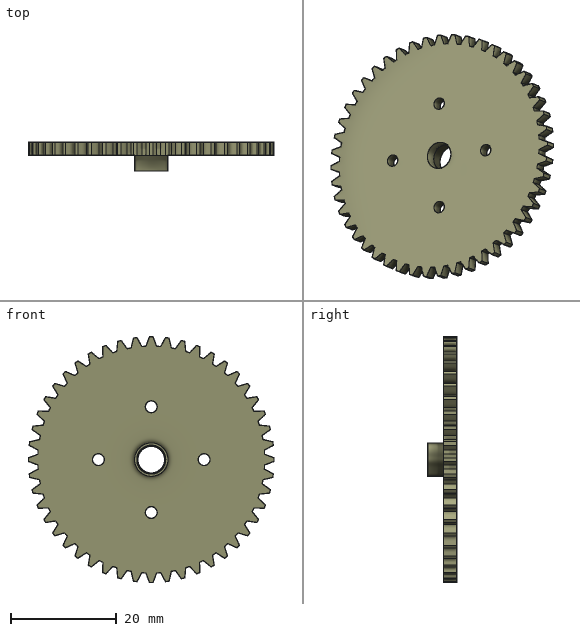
import cadquery as cq
import math

tooth_count = 48
tip_radius = 23.25
root_radius = 21.5
tooth_tip_width = 0.7
tooth_root_width = 2.05

disc_thickness = 2.5
hub_length = 2.98
hub_diameter = 6.32

bore_diameter = 5.0
counterbore_diameter = 5.5

small_hole_count = 4
small_hole_diameter = 2.2
small_hole_circle_radius = 10.0


def polar_point(radius, angle):
    return (radius * math.cos(angle), radius * math.sin(angle))


def half_angle(width, radius):
    """Half the angle that a chord of the given width spans at the given radius."""
    return math.asin(width / (2 * radius))


def gear_outline():
    """Closed gear outline in the XZ plane, with one tooth centred on +X."""
    tooth_pitch = 2 * math.pi / tooth_count
    tip_half = half_angle(tooth_tip_width, tip_radius)
    root_half = half_angle(tooth_root_width, root_radius)

    outline = cq.Workplane("XZ").moveTo(*polar_point(root_radius, -root_half))
    for tooth in range(tooth_count):
        tooth_centre = tooth * tooth_pitch
        gap_centre = tooth_centre + tooth_pitch / 2
        tip_middle = polar_point(tip_radius, tooth_centre)
        tip_end = polar_point(tip_radius, tooth_centre + tip_half)
        root_middle = polar_point(root_radius, gap_centre)
        root_end = polar_point(root_radius, tooth_centre + tooth_pitch - root_half)
        outline = (
            outline
            .lineTo(*polar_point(tip_radius, tooth_centre - tip_half))
            .threePointArc(tip_middle, tip_end)
            .lineTo(*polar_point(root_radius, tooth_centre + root_half))
            .threePointArc(root_middle, root_end)
        )
    return outline.close()


def cylinder_along_y(diameter, start, end):
    """Cylinder on the Y axis between two Y positions."""
    return cq.Workplane("XZ", origin=(0, start, 0)).circle(diameter / 2).extrude(start - end)


gear_disc = gear_outline().extrude(-disc_thickness)
hub = cylinder_along_y(hub_diameter, -hub_length, 0)
bore = cylinder_along_y(bore_diameter, -hub_length, disc_thickness)
counterbore = cylinder_along_y(counterbore_diameter, -hub_length, 0)
small_holes = (
    cq.Workplane("XZ")
    .polarArray(small_hole_circle_radius, 0, 360, small_hole_count)
    .circle(small_hole_diameter / 2)
    .extrude(-disc_thickness)
)

result = gear_disc.union(hub).cut(bore).cut(counterbore).cut(small_holes)